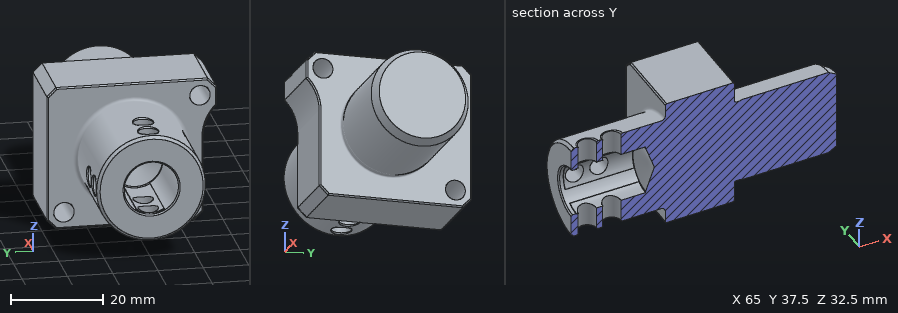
import cadquery as cq
import math

length = 65.0
flange_start = 23.0
flange_end = 40.0

front_radius = 12.0
front_chamfer = 0.65
front_root_fillet = 1.0

rear_radius = 11.0
neck_radius = 10.8
neck_end = 41.9
neck_bevel = 0.65
neck_root_fillet = 0.4
tip_chamfer_length = 2.1
tip_chamfer_angle = 30.0

flange_height = 32.5
flange_width = 37.5
ear_reach = 3.0
ear_bottom = 10.0
ear_arc_radius = 10.0
corner_chamfer = 2.0
rim_chamfer = 0.3

mount_hole_y = 15.0
mount_hole_z = 12.5
mount_hole_diameter = 4.5

bore_radius = 6.0
bore_depth = 18.2
bore_chamfer = 0.3
drill_point_radius = 5.85
drill_point_angle = 140.0

recess_radius = 6.2
recess_start = 1.3
recess_angle = 60.0

cross_hole_positions = (4.0, 10.0)
cross_hole_row_angles = (0, 90, 270)
cross_hole_radius = 2.2
cross_hole_chamfer = 0.3
cross_hole_overrun = 0.65

axis_start = (0, 0, 0)
axis_end = (1, 0, 0)


def turn_about_axis(shape, angle):
    return shape.rotate(axis_start, axis_end, angle)


def make_flange():
    half_width = flange_width / 2
    half_height = flange_height / 2
    side = -half_width + ear_reach
    sweep = math.acos((ear_arc_radius - ear_reach) / ear_arc_radius)
    arc_bottom = ear_bottom - ear_arc_radius * math.sin(sweep)
    arc_middle = (
        side - ear_arc_radius * (1 - math.cos(sweep / 2)),
        arc_bottom + ear_arc_radius * math.sin(sweep / 2),
    )
    block = (
        cq.Workplane("YZ", origin=(flange_start, 0, 0))
        .moveTo(side, arc_bottom)
        .threePointArc(arc_middle, (-half_width, ear_bottom))
        .lineTo(-half_width, half_height - corner_chamfer)
        .lineTo(-half_width + corner_chamfer, half_height)
        .lineTo(half_width - corner_chamfer, half_height)
        .lineTo(half_width, half_height - corner_chamfer)
        .lineTo(half_width, -half_height + corner_chamfer)
        .lineTo(half_width - corner_chamfer, -half_height)
        .lineTo(side + corner_chamfer, -half_height)
        .lineTo(side, -half_height + corner_chamfer)
        .close()
        .extrude(flange_end - flange_start)
    )
    return block.faces("<X or >X").chamfer(rim_chamfer)


def make_shafts():
    """Both shafts and their root fillets, turned as one piece."""
    tip_drop = tip_chamfer_length * math.tan(math.radians(tip_chamfer_angle))
    arc_far = math.sin(math.radians(45))
    arc_near = 1 - arc_far
    front_fillet_middle = (
        flange_start - front_root_fillet * arc_near,
        front_radius + front_root_fillet * arc_near,
    )
    neck_fillet_middle = (
        flange_end + neck_root_fillet * arc_near,
        neck_radius + neck_root_fillet * arc_near,
    )
    return (
        cq.Workplane("XY")
        .lineTo(0, front_radius - front_chamfer)
        .lineTo(front_chamfer, front_radius)
        .lineTo(flange_start - front_root_fillet, front_radius)
        .threePointArc(front_fillet_middle, (flange_start, front_radius + front_root_fillet))
        .lineTo(flange_end, front_radius + front_root_fillet)
        .lineTo(flange_end, neck_radius + neck_root_fillet)
        .threePointArc(neck_fillet_middle, (flange_end + neck_root_fillet, neck_radius))
        .lineTo(neck_end - neck_bevel, neck_radius)
        .lineTo(neck_end, rear_radius)
        .lineTo(length - tip_chamfer_length, rear_radius)
        .lineTo(length, rear_radius - tip_drop)
        .lineTo(length, 0)
        .close()
        .revolve(360, axis_start, axis_end)
    )


def make_bore():
    point_length = drill_point_radius / math.tan(math.radians(drill_point_angle / 2))
    return (
        cq.Workplane("XY")
        .lineTo(0, bore_radius + bore_chamfer)
        .lineTo(bore_chamfer, bore_radius)
        .lineTo(bore_depth, bore_radius)
        .lineTo(bore_depth, drill_point_radius)
        .lineTo(bore_depth + point_length, 0)
        .close()
        .revolve(360, axis_start, axis_end)
    )


def make_bore_recess():
    """Ring sector centred on +Y that widens the bore wall; its inner side lies inside the bore."""
    inner_radius = bore_radius / 2
    sector = (
        cq.Workplane("XY")
        .moveTo(recess_start, inner_radius)
        .lineTo(bore_depth, inner_radius)
        .lineTo(bore_depth, recess_radius)
        .lineTo(recess_start, recess_radius)
        .close()
        .revolve(recess_angle, axis_start, axis_end)
    )
    return turn_about_axis(sector, -recess_angle / 2)


def make_mount_holes():
    return (
        cq.Workplane("YZ", origin=(flange_start, 0, 0))
        .pushPoints([(-mount_hole_y, mount_hole_z), (mount_hole_y, -mount_hole_z)])
        .circle(mount_hole_diameter / 2)
        .extrude(flange_end - flange_start)
    )


def make_cross_hole(x):
    """Countersunk hole running from the shaft axis out toward +Y."""
    hole_top = front_radius + cross_hole_overrun
    sink_radius = cross_hole_radius + cross_hole_chamfer
    return (
        cq.Workplane("XY")
        .moveTo(x, 0)
        .lineTo(x + cross_hole_radius, 0)
        .lineTo(x + cross_hole_radius, front_radius - cross_hole_chamfer)
        .lineTo(x + sink_radius, front_radius)
        .lineTo(x + sink_radius, hole_top)
        .lineTo(x, hole_top)
        .close()
        .revolve(360, (x, 0, 0), (x, 1, 0))
    )


bore = make_bore()
for row_angle in cross_hole_row_angles:
    bore = bore.union(turn_about_axis(make_bore_recess(), row_angle))

result = make_flange().union(make_shafts()).cut(bore).cut(make_mount_holes())
for row_angle in cross_hole_row_angles:
    for hole_x in cross_hole_positions:
        result = result.cut(turn_about_axis(make_cross_hole(hole_x), row_angle))